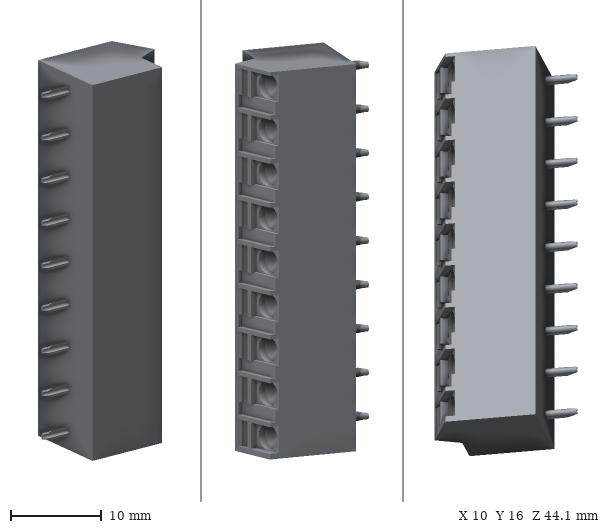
import cadquery as cq
import math

LENGTH = 44.1
WIDTH = 10.0
DEPTH = 9.55
LOW_CORNER_Y = 10.15
PEAK_X = 4.85
PEAK_Y = 12.4
STEP_X = 6.2
SLOPE_LENGTH = math.hypot(PEAK_X, PEAK_Y - LOW_CORNER_Y)

POLES = 9
POLE_SPAN = 40.0
PITCH = POLE_SPAN / (POLES - 1)
TOP_WALL = 0.42

POCKET_HEIGHT = 3.05
POCKET_START = 2.35
POCKET_DEPTH = 0.95

HOLE_AXIS = 4.15
HOLE_RADIUS = 1.45
HOLE_DEPTH = 0.95
CONE_DEPTH = 1.68

LEDGE_START = 0.5
LEDGE_DEPTH = 0.15
GROOVE_START = 0.57
GROOVE_CHAMFER = 0.18
GROOVE_DEPTH = 0.57
GROOVE_END = 1.8

SLOT_HEIGHT = 1.45
SLOT_DEPTH = 0.6

PIN_TOP_GAP = 1.75
PIN_OPEN_X = 5.8
PIN_LENGTH = 3.55
PIN_RADIUS = 0.55
PIN_BORE_RADIUS = 0.25
PIN_LIP_WIDTH = 0.18
PIN_BACK_HALF_HEIGHT = 0.4
PIN_TIP_LENGTH = 1.1
PIN_TIP_RADIUS = 0.4
PIN_REACH = math.sqrt(2) * PIN_RADIUS

OVERRUN = 2.2


def housing():
    outline = [
        (0, 0),
        (WIDTH, 0),
        (WIDTH, DEPTH),
        (STEP_X, DEPTH),
        (PEAK_X, PEAK_Y),
        (0, LOW_CORNER_Y),
    ]
    return cq.Workplane("XY").polyline(outline).close().extrude(LENGTH)


def slope_plane(z):
    """Section plane at height z: local x runs down the slope, local y points out of it."""
    down_slope = (-PEAK_X, LOW_CORNER_Y - PEAK_Y, 0)
    return cq.Plane(origin=(PEAK_X, PEAK_Y, z), xDir=down_slope, normal=(0, 0, -1))


def slope_prism(points, top, height):
    """Prism with its upper face at z = top, reaching down by height."""
    return cq.Workplane(slope_plane(top)).polyline(points).close().extrude(height)


def recess(start, depth, top, height):
    """Flat-bottomed recess that runs down the slope and out through the -X face."""
    end = SLOPE_LENGTH + OVERRUN
    points = [(start, -depth), (end, -depth), (end, OVERRUN), (start, OVERRUN)]
    return slope_prism(points, top, height)


def groove(top):
    wall = GROOVE_START + GROOVE_CHAMFER
    points = [
        (GROOVE_START, -LEDGE_DEPTH),
        (wall, -LEDGE_DEPTH - GROOVE_CHAMFER),
        (wall, -GROOVE_DEPTH),
        (GROOVE_END, -GROOVE_DEPTH),
        (GROOVE_END, -LEDGE_DEPTH),
    ]
    return slope_prism(points, top, POCKET_HEIGHT)


def wire_hole(z):
    floor = -POCKET_DEPTH
    cone_base = floor - HOLE_DEPTH
    profile = [
        (HOLE_AXIS, floor),
        (HOLE_AXIS + HOLE_RADIUS, floor),
        (HOLE_AXIS + HOLE_RADIUS, cone_base),
        (HOLE_AXIS, cone_base - CONE_DEPTH),
    ]
    half_section = cq.Workplane(slope_plane(z)).polyline(profile).close()
    return half_section.revolve(360, (HOLE_AXIS, 0), (HOLE_AXIS, 1))


def pole_cavity(top):
    ledge = recess(LEDGE_START, LEDGE_DEPTH, top, POCKET_HEIGHT)
    pocket = recess(POCKET_START, POCKET_DEPTH, top, POCKET_HEIGHT)
    hole = wire_hole(top - POCKET_HEIGHT / 2)
    return ledge.union(pocket).union(groove(top)).union(hole)


def pin(z):
    half_tube = (
        cq.Workplane("XZ", origin=(PIN_OPEN_X, 0, z))
        .moveTo(0, -PIN_RADIUS)
        .lineTo(-PIN_LIP_WIDTH, -PIN_BACK_HALF_HEIGHT)
        .threePointArc((-PIN_RADIUS, 0), (-PIN_LIP_WIDTH, PIN_BACK_HALF_HEIGHT))
        .lineTo(0, PIN_RADIUS)
        .lineTo(0, PIN_BORE_RADIUS)
        .threePointArc((-PIN_BORE_RADIUS, 0), (0, -PIN_BORE_RADIUS))
        .close()
        .extrude(PIN_LENGTH)
    )
    envelope_profile = [
        (0, 0),
        (PIN_REACH, 0),
        (PIN_REACH, PIN_TIP_LENGTH - PIN_LENGTH),
        (PIN_TIP_RADIUS, -PIN_LENGTH),
        (0, -PIN_LENGTH),
    ]
    envelope = (
        cq.Workplane("XY", origin=(PIN_OPEN_X - PIN_RADIUS, 0, z))
        .polyline(envelope_profile)
        .close()
        .revolve(360, (0, 0), (0, 1))
    )
    return half_tube.intersect(envelope)


result = housing()

for pole in range(POLES):
    drop = pole * PITCH
    pocket_top = LENGTH - TOP_WALL - drop
    result = result.cut(pole_cavity(pocket_top))
    result = result.union(pin(LENGTH - PIN_TOP_GAP - drop))
    if pole < POLES - 1:
        slot_top = pocket_top - POCKET_HEIGHT
        result = result.cut(recess(LEDGE_START, SLOT_DEPTH, slot_top, SLOT_HEIGHT))